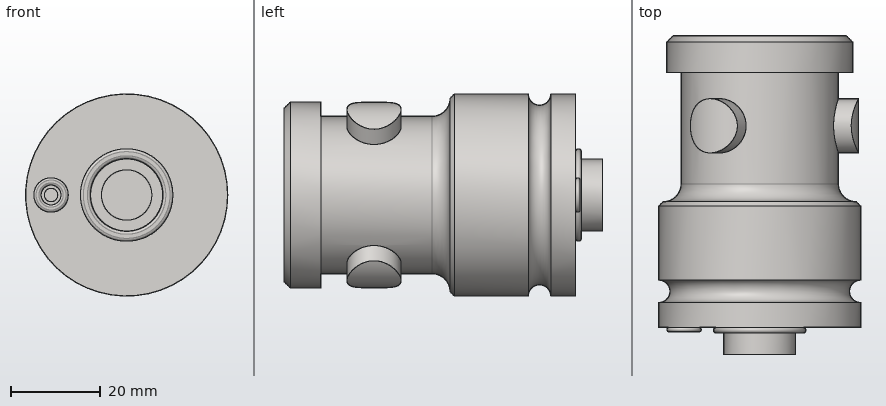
import cadquery as cq
import math

body_radius = 22.5
groove_radius = 2.5
groove_start = 5.55
groove_end = groove_start + 2 * groove_radius
shoulder_chamfer = 1.0
shoulder_end = 28.0
neck_fillet = 4.0
neck_radius = body_radius - shoulder_chamfer - neck_fillet
neck_start = shoulder_end + neck_fillet
flange_radius = 20.7
flange_start = 56.7
flange_chamfer = 1.5

spigot_length = 6.0
spigot_radius = 8.0
spigot_bore_radius = 5.6
spigot_bore_depth = 5.0
total_length = 71
body_length = total_length - spigot_length

spigot_ring_inner = 8.7
spigot_ring_outer = 9.65
spigot_ring_height = 1.3
port_ring_inner = 2.7
port_ring_outer = 3.35
port_ring_height = 1.0
port_offset = 16.8
port_radius = 1.5
port_depth = 2.85

pin_count = 3
pin_radius = 6.0
pin_reach = 22.0
pin_end_radius = 12.0
pin_position = 44.9


def make_body():
    """Turn the stepped body around the Y axis."""
    bend = neck_fillet * (1 - math.sqrt(0.5))
    groove_middle = groove_start + groove_radius
    return (
        cq.Workplane("XY")
        .lineTo(body_radius, 0)
        .lineTo(body_radius, groove_start)
        .threePointArc((body_radius - groove_radius, groove_middle), (body_radius, groove_end))
        .lineTo(body_radius, shoulder_end - shoulder_chamfer)
        .lineTo(body_radius - shoulder_chamfer, shoulder_end)
        .threePointArc((neck_radius + bend, shoulder_end + bend), (neck_radius, neck_start))
        .lineTo(neck_radius, flange_start)
        .lineTo(flange_radius, flange_start)
        .lineTo(flange_radius, body_length - flange_chamfer)
        .lineTo(flange_radius - flange_chamfer, body_length)
        .lineTo(0, body_length)
        .close()
        .revolve(360, (0, 0, 0), (0, 1, 0))
    )


def front_cylinder(radius, length, x=0):
    """Make a cylinder along Y, starting at the front face; positive length points outward."""
    return cq.Workplane("XZ").center(x, 0).circle(radius).extrude(length)


def make_ring(inner, outer, height, x=0):
    """Make a ring on the front face with half-round inner and outer edges."""
    edge_radius = height / 2
    return (
        cq.Workplane("XY")
        .moveTo(inner, 0)
        .lineTo(outer, 0)
        .threePointArc((outer + edge_radius, -edge_radius), (outer, -height))
        .lineTo(inner, -height)
        .threePointArc((inner - edge_radius, -edge_radius), (inner, 0))
        .close()
        .revolve(360, (0, 0, 0), (0, 1, 0))
        .translate((x, 0, 0))
    )


def make_pin():
    """Make the pin along +X; its end is rounded about an axis parallel to Y."""
    shaft = cq.Workplane("YZ").center(pin_position, 0).circle(pin_radius).extrude(pin_reach)
    end_shape = (
        cq.Workplane("XZ", origin=(0, pin_position + pin_radius, 0))
        .center(pin_reach - pin_end_radius, 0)
        .circle(pin_end_radius)
        .extrude(2 * pin_radius)
    )
    return shaft.intersect(end_shape)


result = make_body().union(front_cylinder(spigot_radius, spigot_length))
result = result.union(make_ring(spigot_ring_inner, spigot_ring_outer, spigot_ring_height))
result = result.union(make_ring(port_ring_inner, port_ring_outer, port_ring_height, -port_offset))

for i in range(pin_count):
    result = result.union(make_pin().rotate((0, 0, 0), (0, 1, 0), i * 360 / pin_count))

spigot_bore = front_cylinder(spigot_bore_radius, -spigot_bore_depth).translate((0, -spigot_length, 0))
port_hole = front_cylinder(port_radius, -port_depth, -port_offset)
result = result.cut(spigot_bore).cut(port_hole)